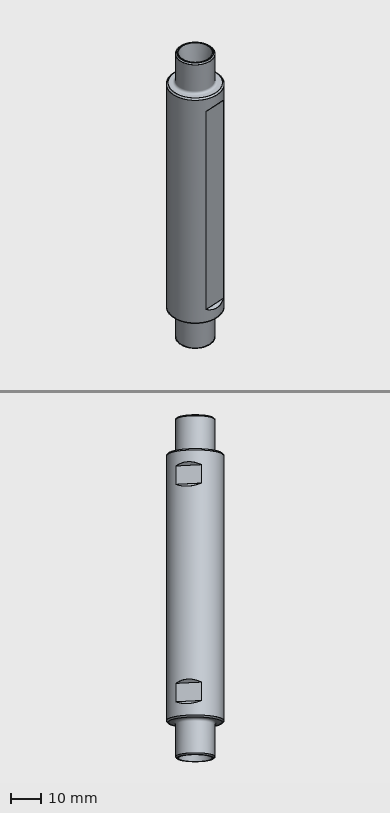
import cadquery as cq

length = 114.0
body_diameter = 19.0
spigot_diameter = 13.0
spigot_length = 12.0
body_chamfer = 0.6
spigot_chamfer = 0.5
root_fillet = 0.9

throat_diameter = 7.5
mouth_diameter = 11.3
cone_length = 11.4

flat_depth = 1.0
pocket_floor_length = 6.2
flat_end_inset = 5.5

half_length = length / 2
body_radius = body_diameter / 2
shoulder_z = half_length - spigot_length
flat_end_z = shoulder_z - flat_end_inset


def make_cylinder(diameter, end_z, end_chamfer):
    """Cylinder reaching from -end_z to end_z, chamfered at both ends."""
    return (
        cq.Workplane("XY")
        .workplane(offset=-end_z)
        .circle(diameter / 2)
        .extrude(2 * end_z)
        .faces("<Z or >Z")
        .chamfer(end_chamfer)
    )


def make_root_fillet():
    """Concave ring between the upper spigot and the shoulder."""
    spigot_radius = spigot_diameter / 2
    arc_inset = root_fillet * (1 - 0.5**0.5)
    return (
        cq.Workplane("XZ")
        .moveTo(0, shoulder_z)
        .lineTo(spigot_radius + root_fillet, shoulder_z)
        .threePointArc(
            (spigot_radius + arc_inset, shoulder_z + arc_inset),
            (spigot_radius, shoulder_z + root_fillet),
        )
        .lineTo(0, shoulder_z + root_fillet)
        .close()
        .revolve(360, (0, 0), (0, 1))
    )


def make_upper_bore():
    """Upper half of the bore."""
    return (
        cq.Workplane("XZ")
        .lineTo(throat_diameter / 2, 0)
        .lineTo(throat_diameter / 2, half_length - cone_length)
        .lineTo(mouth_diameter / 2, half_length)
        .lineTo(0, half_length)
        .close()
        .revolve(360, (0, 0), (0, 1))
    )


def make_flat_cutter(side, floor_bottom, floor_top):
    """Cutter for a flat facing +X (side = 1) or -X (side = -1)."""
    floor_x = body_radius - flat_depth
    outline = [
        (side * floor_x, floor_bottom),
        (side * floor_x, floor_top),
        (side * body_radius, floor_top + flat_depth),
        (side * body_radius, floor_bottom - flat_depth),
    ]
    return cq.Workplane("XZ").polyline(outline).close().extrude(body_radius, both=True)


body = make_cylinder(body_diameter, shoulder_z, body_chamfer)
core = make_cylinder(spigot_diameter, half_length, spigot_chamfer)
upper_fillet = make_root_fillet()
upper_bore = make_upper_bore()
result = body.union(core).union(upper_fillet).union(upper_fillet.mirror("XY"))
result = result.cut(upper_bore).cut(upper_bore.mirror("XY"))

pocket_start_z = flat_end_z - pocket_floor_length
result = result.cut(make_flat_cutter(-1, pocket_start_z, flat_end_z))
result = result.cut(make_flat_cutter(-1, -flat_end_z, -pocket_start_z))
result = result.cut(make_flat_cutter(1, -flat_end_z, flat_end_z))